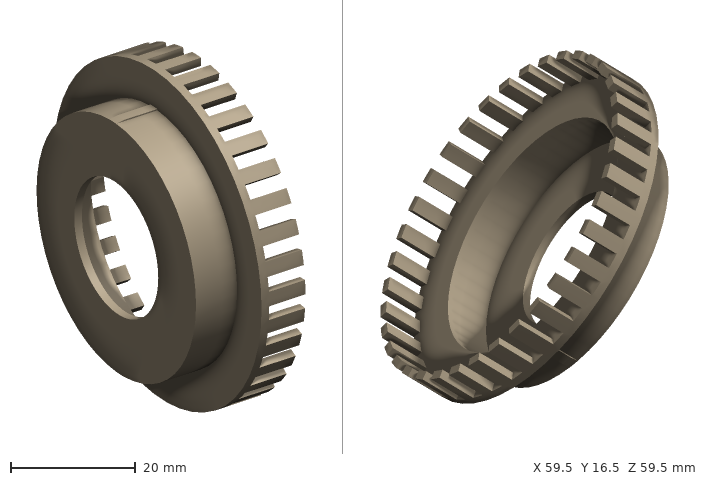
import cadquery as cq
import math

flange_diameter = 59.5
flange_thickness = 1.5
tooth_length = 7.0
tooth_thickness = 1.5
tooth_count = 36
tooth_angle = 360 / tooth_count / 2
slot_overcut = 1.2

boss_diameter = 45.5
boss_length = 8.0
cavity_diameter = 42.5
bore_diameter = 24.0
front_wall = 1.5

key_height = 0.25
key_angle = 5.0
key_ramp_length = 1.5

total_length = boss_length + flange_thickness + tooth_length
front_y = -total_length / 2
flange_front_y = front_y + boss_length
flange_back_y = flange_front_y + flange_thickness
back_y = flange_back_y + tooth_length


def radial_point(radius, angle):
    """X and Z of a point at an angle turned from +Z towards -X."""
    turn = math.radians(angle)
    return (-radius * math.sin(turn), radius * math.cos(turn))


def turned_body():
    """Boss, flange and an unbroken crown ring, revolved around the Y axis."""
    bore_radius = bore_diameter / 2
    boss_radius = boss_diameter / 2
    cavity_radius = cavity_diameter / 2
    outer_radius = flange_diameter / 2
    crown_inner_radius = outer_radius - tooth_thickness
    profile = [
        (bore_radius, front_y),
        (boss_radius, front_y),
        (boss_radius, flange_front_y),
        (outer_radius, flange_front_y),
        (outer_radius, back_y),
        (crown_inner_radius, back_y),
        (crown_inner_radius, flange_back_y),
        (cavity_radius, flange_back_y),
        (cavity_radius, front_y + front_wall),
        (bore_radius, front_y + front_wall),
    ]
    return cq.Workplane("XY").polyline(profile).close().revolve(360, (0, 0, 0), (0, 1, 0))


def slot_cutter(start_angle):
    """Wedge that clears the crown ring between two neighbouring teeth."""
    near_radius = flange_diameter / 2 - tooth_thickness - slot_overcut
    far_radius = flange_diameter / 2 + slot_overcut
    end_angle = start_angle + tooth_angle
    return (
        cq.Workplane("XZ", origin=(0, flange_back_y, 0))
        .polyline([
            radial_point(near_radius, start_angle),
            radial_point(far_radius, start_angle),
            radial_point(far_radius, end_angle),
            radial_point(near_radius, end_angle),
        ])
        .close()
        .extrude(-tooth_length)
    )


def key(start_angle):
    """One key: a revolved strip whose front end ramps down to the boss surface."""
    boss_radius = boss_diameter / 2
    base_radius = (boss_diameter + cavity_diameter) / 4
    top_radius = boss_radius + key_height
    profile = [
        (front_y, base_radius),
        (front_y, boss_radius),
        (front_y + key_ramp_length, top_radius),
        (flange_front_y, top_radius),
        (flange_front_y, base_radius),
    ]
    return (
        cq.Workplane("YZ")
        .polyline(profile)
        .close()
        .revolve(key_angle, (0, 0, 0), (-1, 0, 0))
        .rotate((0, 0, 0), (0, -1, 0), start_angle)
    )


result = turned_body()
for start_angle in (0, 180):
    result = result.union(key(start_angle))
for index in range(tooth_count):
    result = result.cut(slot_cutter((2 * index + 1) * tooth_angle))